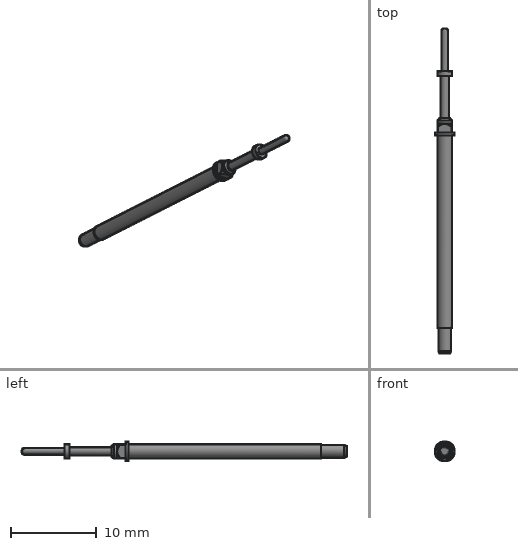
import cadquery as cq

TOTAL_LENGTH = 38.0
REAR_Y = -TOTAL_LENGTH / 2

TIP_PIN_LENGTH = 5.0
COLLAR_LENGTH = 0.6
SHANK_LENGTH = 4.9
NOSE_LENGTH = 0.3
NECK_LENGTH = 0.35
SQUARE_LENGTH = 1.0
FLANGE_LENGTH = 0.35
TAIL_LENGTH = 3.0

TIP_PIN_DIAMETER = 0.8
COLLAR_DIAMETER = 1.7
SHANK_DIAMETER = 1.0
NOSE_SMALL_DIAMETER = 1.2
NECK_DIAMETER = 1.7
FLANGE_DIAMETER = 2.3
BARREL_DIAMETER = 1.7
TAIL_DIAMETER = 1.5

SQUARE_WIDTH = NECK_DIAMETER
SQUARE_CORNER_DIAMETER = FLANGE_DIAMETER
SQUARE_LEAD_LENGTH = 0.3

TIP_FILLET = 0.35
TAIL_CHAMFER_LENGTH = 0.3
TAIL_CHAMFER_DEPTH = 0.15

barrel_start = TAIL_LENGTH
tip_end = TOTAL_LENGTH
collar_end = tip_end - TIP_PIN_LENGTH
shank_end = collar_end - COLLAR_LENGTH
nose_end = shank_end - SHANK_LENGTH
neck_end = nose_end - NOSE_LENGTH
square_end = neck_end - NECK_LENGTH
flange_end = square_end - SQUARE_LENGTH
barrel_end = flange_end - FLANGE_LENGTH


def section_plane(station):
    """Plane across the axis at a station, with its normal toward the tip."""
    return cq.Plane(origin=(0, REAR_Y + station, 0), xDir=(1, 0, 0), normal=(0, 1, 0))


def cylinder(diameter, start, end):
    return cq.Workplane(section_plane(start)).circle(diameter / 2).extrude(end - start)


def cone(start_diameter, end_diameter, start, end):
    return (
        cq.Workplane(section_plane(start))
        .circle(start_diameter / 2)
        .workplane(offset=end - start)
        .circle(end_diameter / 2)
        .loft(ruled=True)
    )


def make_tip_pin():
    return cylinder(TIP_PIN_DIAMETER, collar_end, tip_end).faces(">Y").edges().fillet(TIP_FILLET)


def make_square_section():
    """Square bar whose corners are trimmed by a cylinder and a lead-in cone."""
    lead_start = square_end - SQUARE_LEAD_LENGTH
    turned = cylinder(SQUARE_CORNER_DIAMETER, flange_end, lead_start).union(
        cone(SQUARE_CORNER_DIAMETER, NECK_DIAMETER, lead_start, square_end)
    )
    bar = cq.Workplane(section_plane(flange_end)).rect(SQUARE_WIDTH, SQUARE_WIDTH).extrude(SQUARE_LENGTH)
    return turned.intersect(bar)


def make_tail():
    end_diameter = TAIL_DIAMETER - 2 * TAIL_CHAMFER_DEPTH
    chamfer = cone(end_diameter, TAIL_DIAMETER, 0, TAIL_CHAMFER_LENGTH)
    return chamfer.union(cylinder(TAIL_DIAMETER, TAIL_CHAMFER_LENGTH, barrel_start))


result = (
    make_tail()
    .union(cylinder(BARREL_DIAMETER, barrel_start, barrel_end))
    .union(cylinder(FLANGE_DIAMETER, barrel_end, flange_end))
    .union(make_square_section())
    .union(cylinder(NECK_DIAMETER, square_end, neck_end))
    .union(cone(NECK_DIAMETER, NOSE_SMALL_DIAMETER, neck_end, nose_end))
    .union(cylinder(SHANK_DIAMETER, nose_end, shank_end))
    .union(cylinder(COLLAR_DIAMETER, shank_end, collar_end))
    .union(make_tip_pin())
)